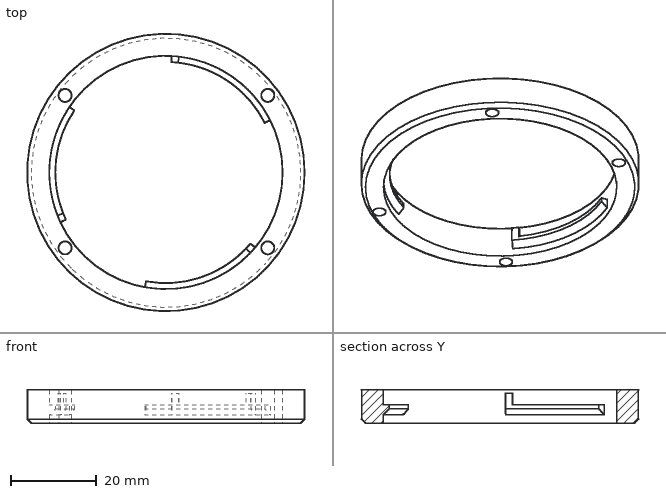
import cadquery as cq

outer_radius = 32.45
inner_radius = 27.25
height = 7.9
bottom_chamfer = 1.0

hole_diameter = 3.0
hole_spacing_x = 47.4
hole_spacing_y = 35.65
hole_offset_x = 0.1
hole_offset_y = 0.2

lug_depth = 1.4
lug_bottom = 2.0
ledge_top = 4.4
stop_top = 7.0
stop_span = 3.6
lug_angles = [
    (87.2, 60.6),
    (205.3, 59.5),
    (320.0, 60.4),
]

wall_overlap = 0.3


def make_ring():
    """Plain ring with a chamfered lower outer edge."""
    disc = cq.Workplane("XY").circle(outer_radius).extrude(height)
    disc = disc.faces("<Z").edges().chamfer(bottom_chamfer)
    return disc.cut(cq.Workplane("XY").circle(inner_radius).extrude(height))


def make_holes():
    """Cutters for the through holes."""
    return (
        cq.Workplane("XY")
        .center(hole_offset_x, hole_offset_y)
        .rect(hole_spacing_x, hole_spacing_y, forConstruction=True)
        .vertices()
        .circle(hole_diameter / 2)
        .extrude(height)
    )


def make_sector(top, start_angle, span):
    """Inward step with a 45 degree underside, swept clockwise from start_angle."""
    tip_radius = inner_radius - lug_depth
    root_radius = inner_radius + wall_overlap
    profile = [
        (tip_radius, top),
        (root_radius, top),
        (root_radius, lug_bottom),
        (inner_radius, lug_bottom),
        (tip_radius, lug_bottom + lug_depth),
    ]
    sector = cq.Workplane("XZ").polyline(profile).close().revolve(span, (0, 0), (0, 1))
    end_angle = start_angle - span
    return sector.rotate((0, 0, 0), (0, 0, 1), end_angle)


def make_lug(start_angle, ledge_span):
    """Ledge with its stop block at the start."""
    ledge = make_sector(ledge_top, start_angle, ledge_span)
    stop = make_sector(stop_top, start_angle, stop_span)
    return ledge.union(stop)


result = make_ring().cut(make_holes())
for lug_start, lug_span in lug_angles:
    result = result.union(make_lug(lug_start, lug_span))